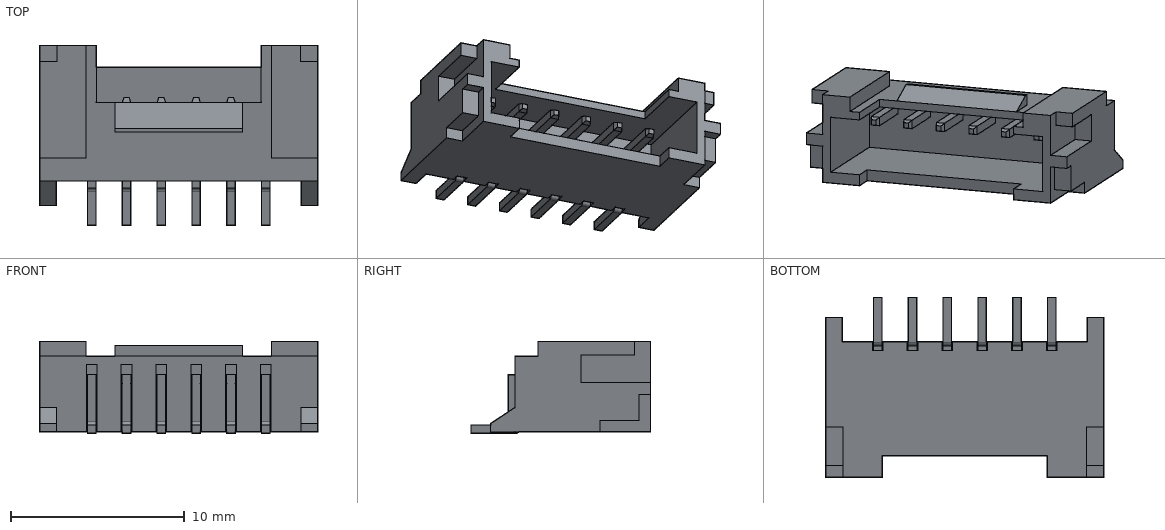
import cadquery as cq


pin_count = 6
pin_pitch = 2.0
pin_width = 0.5
pin_thickness = 0.5
leg_thickness = 0.64
pin_top = 3.28
leg_standoff = 0.4
tail_reach = 2.54
tail_drop = 0.1
inner_bend_radius = 0.2
outer_bend_radius = 0.2
tip_taper_length = 0.3
tip_depth = 3.0
tip_taper_inset = 0.1

housing_length = 16.0
housing_depth = 7.8
deck_height = 4.35
block_height = 5.2
side_wall = 1.5
deck_thickness = 0.45
floor_thickness = 0.65
rear_wall = 1.5

block_width = 2.68
block_length = 6.48

opening_width = 9.46
deck_opening_depth = 3.28
floor_opening_depth = 1.24

ramp_width = 7.34
ramp_length = 1.7
ramp_flat = 0.2
ramp_height = 0.62

recess_width = 1.0
side_pocket_length = 4.0
side_pocket_bottom = 2.84
side_pocket_top = 4.4
corner_notch_length = 0.92
lower_notch_length = 0.68
lower_notch_top = 2.15
base_notch_length = 2.9
base_notch_top = 0.65

foot_width = 0.96
foot_reach = 1.4
foot_tip_height = 0.48
foot_root_height = 1.4

slot_width = 0.61
slot_top = 3.86
slot_depth = 0.5

half_length = housing_length / 2
mating_face = housing_depth
sides = (-1, 1)


def box(x_min, x_max, y_min, y_max, z_min, z_max):
    size = (x_max - x_min, y_max - y_min, z_max - z_min)
    return cq.Workplane("XY").box(*size, centered=False).translate((x_min, y_min, z_min))


def centered_box(width, y_min, y_max, z_min, z_max):
    return box(-width / 2, width / 2, y_min, y_max, z_min, z_max)


def end_box(side, width, y_min, y_max, z_min, z_max):
    """Box of the given width, flush with one end of the housing."""
    x_outer = side * half_length
    x_inner = side * (half_length - width)
    return box(min(x_outer, x_inner), max(x_outer, x_inner), y_min, y_max, z_min, z_max)


def side_profile(points, x_center, width):
    """Extrude a closed (Y, Z) outline along X, centred on x_center."""
    profile = cq.Workplane("YZ").polyline(points).close()
    return profile.extrude(width / 2, both=True).translate((x_center, 0, 0))


def make_shell():
    shell = centered_box(housing_length, 0, mating_face, 0, deck_height)
    for side in sides:
        block_rear = mating_face - block_length
        shell = shell.union(end_box(side, block_width, block_rear, mating_face, 0, block_height))

    cavity_width = housing_length - 2 * side_wall
    cavity_top = deck_height - deck_thickness
    shell = shell.cut(centered_box(cavity_width, rear_wall, mating_face, floor_thickness, cavity_top))

    deck_opening_rear = mating_face - deck_opening_depth
    floor_opening_rear = mating_face - floor_opening_depth
    shell = shell.cut(centered_box(opening_width, deck_opening_rear, mating_face, cavity_top, deck_height))
    return shell.cut(centered_box(opening_width, floor_opening_rear, mating_face, 0, floor_thickness))


def make_ramp():
    ramp_front = mating_face - deck_opening_depth
    ramp_rear = ramp_front - ramp_length
    ramp_top = deck_height + ramp_height
    outline = [
        (ramp_front, deck_height),
        (ramp_rear + ramp_flat, ramp_top),
        (ramp_rear, ramp_top),
        (ramp_rear, deck_height),
    ]
    return side_profile(outline, 0, ramp_width)


def make_side_recesses(side):
    """Side pocket, upper corner notch and the two lower notches of one end."""
    pocket_rear = mating_face - side_pocket_length
    corner_rear = mating_face - corner_notch_length
    lower_rear = mating_face - lower_notch_length
    base_rear = mating_face - base_notch_length
    recesses = end_box(side, recess_width, pocket_rear, mating_face, side_pocket_bottom, side_pocket_top)
    recesses = recesses.union(
        end_box(side, recess_width, corner_rear, mating_face, side_pocket_bottom, block_height)
    )
    recesses = recesses.union(end_box(side, recess_width, lower_rear, mating_face, 0, lower_notch_top))
    return recesses.union(end_box(side, recess_width, base_rear, mating_face, 0, base_notch_top))


def make_foot(side):
    outline = [
        (0, 0),
        (-foot_reach, 0),
        (-foot_reach, foot_tip_height),
        (0, foot_root_height),
    ]
    return side_profile(outline, side * (half_length - foot_width / 2), foot_width)


def make_slot(x_center):
    return centered_box(slot_width, 0, slot_depth, 0, slot_top).translate((x_center, 0, 0))


def make_pin(x_center):
    """Contact running from the cavity through the rear wall, down and out along the board."""
    taper_start = mating_face - tip_depth - tip_taper_length
    contact_bottom = pin_top - pin_thickness
    leg_outer = -leg_standoff
    leg_inner = leg_outer + leg_thickness
    tail_top = pin_thickness - tail_drop
    outline = [
        (taper_start, pin_top),
        (leg_outer, pin_top),
        (leg_outer, tail_top),
        (-tail_reach, tail_top),
        (-tail_reach, -tail_drop),
        (leg_inner, -tail_drop),
        (leg_inner, contact_bottom),
        (taper_start, contact_bottom),
    ]
    pin = side_profile(outline, 0, pin_width)

    def bend_edge(y, z):
        return cq.selectors.NearestToPointSelector((0, y, z))

    pin = pin.edges("|X").edges(bend_edge(leg_outer, tail_top)).fillet(inner_bend_radius)
    pin = pin.edges("|X").edges(bend_edge(leg_inner, -tail_drop)).fillet(outer_bend_radius)
    tapered_tip = (
        pin.faces(">Y")
        .workplane(centerOption="CenterOfMass")
        .rect(pin_width, pin_thickness)
        .workplane(offset=tip_taper_length)
        .rect(pin_width - 2 * tip_taper_inset, pin_thickness - 2 * tip_taper_inset)
        .loft(combine=False)
    )
    return pin.union(tapered_tip).translate((x_center, 0, 0))


pin_positions = [(i - (pin_count - 1) / 2) * pin_pitch for i in range(pin_count)]

result = make_shell().union(make_ramp())
for side in sides:
    result = result.cut(make_side_recesses(side)).union(make_foot(side))
for x_center in pin_positions:
    result = result.cut(make_slot(x_center)).union(make_pin(x_center))